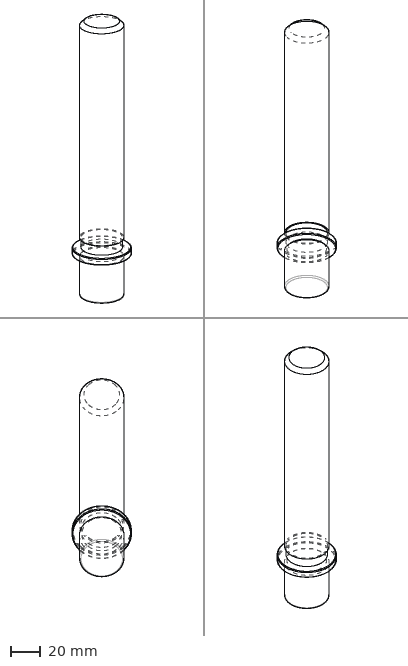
import cadquery as cq

total_length = 200.0
shaft_radius = 15.0
collar_radius = 20.0
relief_radius = 14.0

collar_bottom = 30.0
collar_thickness = 5.0
collar_top = collar_bottom + collar_thickness
relief_top = 42.0

tip_chamfer = 3.0
spigot_top_chamfer = 1.5
spigot_bottom_radius = 1.0
collar_chamfer = 0.5


def cylinder(radius, bottom, top):
    """Solid cylinder about the Z axis between two heights."""
    return cq.Workplane("XY").workplane(offset=bottom).circle(radius).extrude(top - bottom)


spigot = cylinder(shaft_radius, 0, collar_bottom)
spigot = spigot.faces(">Z").edges().chamfer(spigot_top_chamfer)
spigot = spigot.faces("<Z").edges().fillet(spigot_bottom_radius)

core = cylinder(relief_radius, collar_top, relief_top)

collar = cylinder(collar_radius, collar_bottom, collar_top).edges("%CIRCLE").chamfer(collar_chamfer)

shaft = cylinder(shaft_radius, relief_top, total_length)
shaft = shaft.faces(">Z").edges().chamfer(tip_chamfer)

result = spigot.union(core).union(collar).union(shaft)